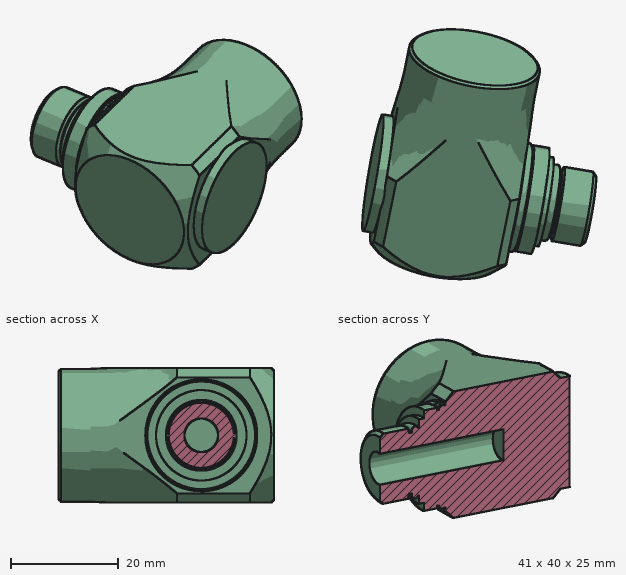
import cadquery as cq
import math

body_width = 25.0
half_width = body_width / 2
body_front_y = -13.5
body_back_y = 26.5
front_face_dia = 24.0
corner_dia = 33.0
corner_end_y = 4.5
collar_dia = 24.7
collar_start_y = 20.5
collar_chamfer = 0.5

disc_dia = 22.0
disc_end_x = 14.35

stem_tip_x = -26.65
thread_dia = 14.0
thread_chamfer = 0.7
thread_end_x = -20.6
neck_dia = 12.2
neck_start_x = -20.25
step_start_x = -18.25
step_dia = 16.8
flange_start_x = -17.15
flange_end_x = -14.25
flange_dia = 20.0
ring_seat_dia = 19.0
root_cone_start_x = -12.98
root_cone_dia = 20.8
bore_dia = 6.2

ring_wire_dia = 1.6
small_ring_dia = 14.4
small_ring_x = step_start_x - ring_wire_dia / 2
large_ring_dia = 20.6
large_ring_x = -13.2

gap_width = 1.5


def make_body():
    """Square block cut to a turned envelope: front cone, round corners, flared neck, collar."""
    front_radius = front_face_dia / 2
    corner_radius = corner_dia / 2
    collar_radius = collar_dia / 2
    corner_start_y = body_front_y + corner_radius - front_radius

    flare_length = collar_start_y - corner_end_y
    flare_rise = corner_radius - collar_radius
    flare_radius = (flare_length**2 + flare_rise**2) / (2 * flare_rise)
    flare_mid_y = collar_start_y - flare_length / 2
    flare_mid_radius = collar_radius + flare_radius - math.sqrt(flare_radius**2 - (flare_length / 2) ** 2)

    envelope = (
        cq.Workplane("XY")
        .moveTo(0, body_front_y)
        .lineTo(front_radius, body_front_y)
        .lineTo(corner_radius, corner_start_y)
        .lineTo(corner_radius, corner_end_y)
        .threePointArc((flare_mid_radius, flare_mid_y), (collar_radius, collar_start_y))
        .lineTo(collar_radius, body_back_y - collar_chamfer)
        .lineTo(collar_radius - collar_chamfer, body_back_y)
        .lineTo(0, body_back_y)
        .close()
        .revolve(360, (0, 0, 0), (0, 1, 0))
    )
    block = cq.Workplane("XY").box(body_width, body_back_y - body_front_y, body_width)
    block = block.translate((0, (body_front_y + body_back_y) / 2, 0))
    return envelope.intersect(block)


def make_disc():
    """Round disc standing on the +X face."""
    return cq.Workplane("YZ").circle(disc_dia / 2).extrude(disc_end_x)


def make_stem():
    """Stepped stem turned about the X axis, with a cone at its root and its core inside the body."""
    thread_radius = thread_dia / 2
    return (
        cq.Workplane("XY")
        .moveTo(stem_tip_x, 0)
        .lineTo(stem_tip_x, thread_radius - thread_chamfer)
        .lineTo(stem_tip_x + thread_chamfer, thread_radius)
        .lineTo(thread_end_x, thread_radius)
        .lineTo(neck_start_x, neck_dia / 2)
        .lineTo(step_start_x, neck_dia / 2)
        .lineTo(step_start_x, step_dia / 2)
        .lineTo(flange_start_x, step_dia / 2)
        .lineTo(flange_start_x, flange_dia / 2)
        .lineTo(flange_end_x, flange_dia / 2)
        .lineTo(flange_end_x, ring_seat_dia / 2)
        .lineTo(root_cone_start_x, ring_seat_dia / 2)
        .lineTo(-half_width, root_cone_dia / 2)
        .lineTo(0, root_cone_dia / 2)
        .lineTo(0, 0)
        .close()
        .revolve(360, (0, 0, 0), (1, 0, 0))
    )


def make_ring(outer_dia, center_x):
    """Round-section ring about the X axis."""
    wire_radius = ring_wire_dia / 2
    return (
        cq.Workplane("XY")
        .center(center_x, outer_dia / 2 - wire_radius)
        .circle(wire_radius)
        .revolve(360, (0, wire_radius - outer_dia / 2, 0), (1, wire_radius - outer_dia / 2, 0))
    )


def make_ring_gap():
    """Block, rising from the stem axis, that opens the large ring between the flange and the body."""
    gap_length = -half_width - flange_end_x
    gap_height = half_width
    return (
        cq.Workplane("XY")
        .box(gap_length, gap_width, gap_height, centered=(False, True, False))
        .translate((flange_end_x, 0, 0))
    )


def make_bore():
    """Bore along the stem, ending on the body axis."""
    return cq.Workplane("YZ").workplane(offset=stem_tip_x).circle(bore_dia / 2).extrude(-stem_tip_x)


small_ring = make_ring(small_ring_dia, small_ring_x)
large_ring = make_ring(large_ring_dia, large_ring_x).cut(make_ring_gap())
stem = make_stem().union(small_ring).union(large_ring)
result = make_body().union(make_disc()).union(stem).cut(make_bore())